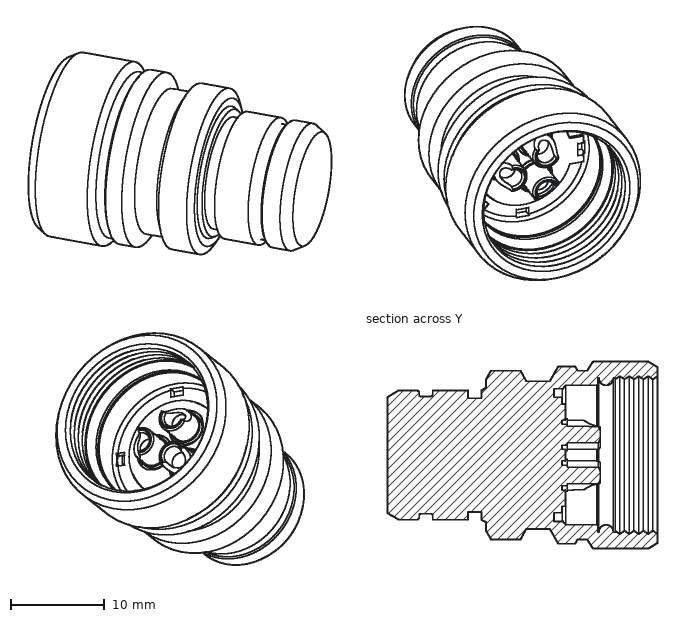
import cadquery as cq
import math


length = 28.8
shell_radius = 10.0
mouth_chamfer_radius = 9.4
collar_radius = 9.0
ring_radius = 9.48
waist_radius = 7.9
rear_radius = 6.9
rear_neck_radius = 6.08
rear_end_radius = 6.2
outer_profile = [
    (0, mouth_chamfer_radius), (1.0, shell_radius), (6.88, shell_radius),
    (7.52, collar_radius), (8.52, collar_radius),
    (8.78, ring_radius), (10.6, ring_radius),
    (11.5, waist_radius), (14.0, waist_radius),
    (14.6, collar_radius), (17.77, collar_radius), (18.32, 8.04),
    (18.32, 7.17), (18.78, rear_radius),
    (18.78, rear_neck_radius), (20.2, rear_neck_radius),
    (20.2, rear_radius), (27.6, rear_radius), (length, rear_end_radius),
]

groove_start = 24.0
groove_end = 25.4
groove_radius = 6.28
groove_fillet = 0.15
groove_edge_chamfer = 0.17

thread_root_radius = 8.4
thread_crest_radius = 8.05
thread_pitch = 1.0
thread_crest_count = 5
thread_end = (thread_crest_count - 0.5) * thread_pitch

seal_section_radius = 0.78
seal_inner_radius = 7.43
seal_seat_radius = seal_inner_radius + seal_section_radius
seal_gap = 0.17
seal_start = thread_end + seal_gap
seal_center = seal_start + seal_section_radius
seal_end = seal_center + seal_section_radius

bore_radius = 7.43
bore_gap = 0.1
bore_start = seal_end + bore_gap
bore_mouth_chamfer = 0.12
floor_place = 10.17
floor_radius = 6.97
floor_bevel_start = 9.8

insert_radius = 5.47
insert_key_width = 3.1
insert_key_reach = 6.83
insert_height = 0.35
insert_face = floor_place - insert_height

pocket_inner_radius = 6.15
pocket_outer_radius = 7.05
pocket_width = 1.45
pocket_depth = 0.85
pocket_angles = [0, 90, 180, 270]
marker_angle = 45
marker_outer_radius = 6.85
marker_depth = 0.1
pin_inner_radius = 6.5

contact_count = 3
contact_circle_radius = 2.5
contact_radius = 1.55
contact_rim_chamfer = 0.2
contact_tip = 6.1
contact_buried_depth = 0.85
contact_root = floor_place + contact_buried_depth
contact_clearance_radius = 2.0
contact_collar_radius = 1.7
contact_collar_height = 0.2
contact_collar_face = insert_face - contact_collar_height
cup_mouth_radius = 1.2
cup_radius = 1.0
cup_taper_depth = 0.3
cup_depth = 2.3
cup_cone_depth = 0.58
cup_cut_radius = 2.02
cup_cut_offset = 0.15


def revolve_profile(sketch):
    """Turn a closed (axial place, radius) outline around the X axis."""
    return sketch.close().revolve(360, (0, 0, 0), (1, 0, 0))


def axial_cylinder(start, end, radius):
    return cq.Workplane("YZ", origin=(start, 0, 0)).circle(radius).extrude(end - start)


def floor_box(inner, outer, width, start, end, angle):
    """Box spanning two radii, turned about X from +Y towards -Z."""
    box = cq.Workplane("XY").box(end - start, outer - inner, width, centered=(False, False, True))
    return box.translate((start, inner, 0)).rotate((0, 0, 0), (1, 0, 0), -angle)


def make_body():
    outline = cq.Workplane("XY").polyline([(0, 0)] + outer_profile + [(length, 0)])
    return revolve_profile(outline)


def make_rear_groove():
    tangent = groove_fillet * (1 - math.sqrt(0.5))
    outline = (
        cq.Workplane("XY")
        .moveTo(groove_start, rear_radius)
        .lineTo(groove_start, groove_radius + groove_fillet)
        .threePointArc(
            (groove_start + tangent, groove_radius + tangent),
            (groove_start + groove_fillet, groove_radius))
        .lineTo(groove_end - groove_fillet, groove_radius)
        .threePointArc(
            (groove_end - tangent, groove_radius + tangent),
            (groove_end, groove_radius + groove_fillet))
        .lineTo(groove_end, rear_radius - groove_edge_chamfer)
        .lineTo(groove_end + groove_edge_chamfer, rear_radius)
        .lineTo(groove_end + groove_edge_chamfer, shell_radius)
        .lineTo(groove_start, shell_radius)
    )
    return revolve_profile(outline)


def make_cavity():
    outline = cq.Workplane("XY").moveTo(0, 0).lineTo(0, thread_root_radius)
    for turn in range(thread_crest_count):
        crest = (turn + 0.5) * thread_pitch
        outline = outline.lineTo(crest, thread_crest_radius)
        if turn < thread_crest_count - 1:
            outline = outline.lineTo(crest + thread_pitch / 2, thread_root_radius)
    outline = (
        outline
        .lineTo(thread_end, seal_seat_radius)
        .lineTo(seal_start, seal_seat_radius)
        .threePointArc((seal_center, seal_inner_radius), (seal_end, seal_seat_radius))
        .lineTo(bore_start, seal_seat_radius)
        .lineTo(bore_start, bore_radius + bore_mouth_chamfer)
        .lineTo(bore_start + bore_mouth_chamfer, bore_radius)
        .lineTo(floor_bevel_start, bore_radius)
        .lineTo(floor_place, floor_radius)
        .lineTo(floor_place, 0)
    )
    return revolve_profile(outline)


def make_insert():
    disc = axial_cylinder(insert_face, floor_place, insert_radius)
    key = floor_box(0, insert_key_reach, insert_key_width, insert_face, floor_place, 180)
    return disc.union(key)


def make_contact():
    """Solder cup on the X axis, with its +Y half cut away near the tip."""
    tip_edge = contact_radius - contact_rim_chamfer
    contact = revolve_profile(cq.Workplane("XY").polyline([
        (contact_tip, 0), (contact_tip, tip_edge),
        (contact_tip + contact_rim_chamfer, contact_radius),
        (contact_collar_face, contact_radius), (contact_collar_face, contact_collar_radius),
        (contact_root, contact_collar_radius), (contact_root, 0)]))
    cup_end = contact_tip + cup_depth
    cup = revolve_profile(cq.Workplane("XY").polyline([
        (contact_tip, 0), (contact_tip, cup_mouth_radius),
        (contact_tip + cup_taper_depth, cup_radius), (cup_end, cup_radius),
        (cup_end + cup_cone_depth, 0)]))
    cut_end = contact_tip + cup_cut_radius
    cut_reach = cup_cut_offset + cup_cut_radius
    bulge = cup_cut_radius * math.sqrt(0.5)
    side_cut = (
        cq.Workplane("XY", origin=(0, 0, -contact_radius))
        .moveTo(contact_tip, cup_cut_offset)
        .threePointArc((contact_tip + bulge, cut_reach - bulge), (cut_end, cut_reach))
        .lineTo(contact_tip, cut_reach)
        .close()
        .extrude(2 * contact_radius)
    )
    return contact.cut(cup).cut(side_cut)


body = make_body().cut(make_rear_groove()).cut(make_cavity()).union(make_insert())

pocket_end = floor_place + pocket_depth
for angle in pocket_angles:
    body = body.cut(floor_box(pocket_inner_radius, pocket_outer_radius, pocket_width,
                              floor_bevel_start, pocket_end, angle))
body = body.cut(floor_box(pocket_inner_radius, marker_outer_radius, pocket_width,
                          floor_place, floor_place + marker_depth, marker_angle))

pin = (
    cq.Workplane("XZ", origin=(pocket_end, pin_inner_radius, 0))
    .circle(pocket_width / 2)
    .extrude(pin_inner_radius - pocket_outer_radius)
)
body = body.union(pin)

contact = make_contact()
clearance = axial_cylinder(insert_face, floor_place, contact_clearance_radius)
offset = (0, contact_circle_radius, 0)
for index in range(contact_count):
    angle = index * 360 / contact_count
    body = body.cut(clearance.translate(offset).rotate((0, 0, 0), (1, 0, 0), angle))
    body = body.union(contact.translate(offset).rotate((0, 0, 0), (1, 0, 0), angle))

result = body